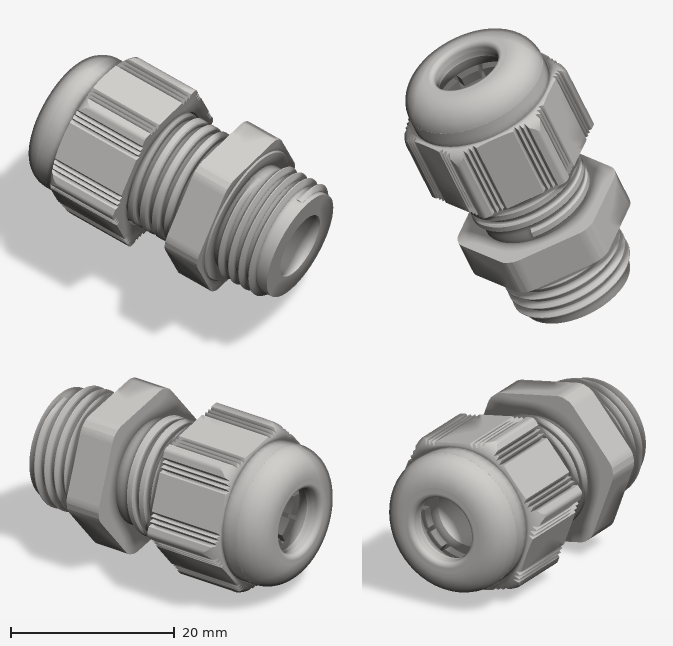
import cadquery as cq
import math

LENGTH = 35.8
GRIP_START = 5.25
GRIP_END = 15.35
SEAL_END = 4.0
FINGERS_START = 4.95
FINGERS_END = 6.15
HEX_START = 22.9
HEX_END = 27.75
COLLAR_END = 27.95

ACROSS_FLATS = 19.0
HEX_TURN = 10.2
CORNERS = 6
CORNER_STEP = 360 / CORNERS
CORNER_RATIO = 1 / math.cos(math.pi / CORNERS)

DOME_DIA = 18.0
DOME_RADIUS = 3.4
DOME_END = 3.15
OPENING_DIA = DOME_DIA - 2 * DOME_RADIUS
OPENING_DEPTH = 1.07
NUT_BORE_DIA = 15.65
NUT_CORNER_RADIUS = 0.68
GRIP_ROUNDING = 1.9
GROOVE_PITCH = 0.65
GROOVE_DEPTH = 0.57
GROOVES_PER_CORNER = 3
GROOVE_CLEARANCE = 0.35
GROOVE_FIELD_START = 2.47

SEAL_BORE_DIA = 8.4
SEAL_RIM_RADIUS = 0.65
SEAL_FLANGE_DIA = 13.67
SEAL_THROAT_END = 1.3
SEAL_WAIST_DIA = 8.55
SEAL_WAIST_START = 1.95
SEAL_WAIST_END = 2.15
SEAL_EXIT_DIA = 10.6

BODY_BORE_DIA = 8.5
FINGER_BORE_DIA = 10.9
FINGER_COUNT = 12
FINGER_GAP = 0.55
HEX_CORNER_RADIUS = 2.6
HEX_CORNER_LAND = 0.05
COLLAR_DIA = 17.9
COLLAR_CHAMFER = 0.15

CAP_SHANK_DIA = 13.67
CAP_THREAD_DIA = 15.2
CAP_PITCH = 1.8
CAP_CREST = 0.7
CAP_SHOULDER = 1.07
CAP_SHOULDER_DROP = 0.2
CAP_ROOT = 1.18
CAP_TURNS = 8
CAP_THREAD_ANGLE = -90.0
CAP_THREAD_END = 21.65

ENTRY_SHANK_DIA = 14.17
ENTRY_THREAD_DIA = 15.82
ENTRY_PITCH = 1.5
ENTRY_CREST = 0.1
ENTRY_ROOT = 1.0
ENTRY_FOOT = 0.05
ENTRY_TURNS = 4
ENTRY_THREAD_START = 28.75
ENTRY_THREAD_ANGLE = 80.0
ENTRY_FADE = 35.0

THREAD_ROOTING = 0.1
FADED_RISE = 0.2
POINTS_PER_TURN = 24


def hexagon_prism(start, end, across_flats, turn):
    """Hexagonal prism along X with one corner at `turn` degrees above -Y."""
    return (
        cq.Workplane("YZ", origin=(start, 0, 0))
        .transformed(rotate=(0, 0, -turn))
        .polygon(CORNERS, across_flats * CORNER_RATIO)
        .extrude(end - start)
    )


def revolve_about_x(profile):
    return profile.close().revolve(360, (0, 0, 0), (1, 0, 0))


def cylinder(start, end, diameter):
    return cq.Workplane("YZ", origin=(start, 0, 0)).circle(diameter / 2).extrude(end - start)


def thread(shank_dia, pitch, profile, start, start_angle, turns, fade=0.0):
    """Right-handed external thread ridge along X.

    `profile` lists (offset along X, height above the shank) from one root to the other.
    With `fade`, the heights grow from FADED_RISE to full over that many degrees at both ends.
    """
    sweep = 360 * turns
    steps = round(POINTS_PER_TURN * turns)

    def helix(offset, height):
        points = []
        for step in range(steps + 1):
            angle = sweep * step / steps
            rise = 1.0
            if fade and height > 0:
                rise = max(FADED_RISE, min(1.0, angle / fade, (sweep - angle) / fade))
            radius = shank_dia / 2 + rise * height
            around = math.radians(start_angle + angle)
            x = start + offset + pitch * angle / 360
            points.append(cq.Vector(x, radius * math.cos(around), radius * math.sin(around)))
        return cq.Edge.makeSpline(points)

    edges = [helix(offset, height) for offset, height in profile]
    faces = [cq.Face.makeRuledSurface(a, b) for a, b in zip(edges, edges[1:] + edges[:1])]
    for corners in ([e.startPoint() for e in edges], [e.endPoint() for e in edges]):
        faces.append(cq.Face.makeFromWires(cq.Wire.makePolygon(corners, close=True)))
    ridge = cq.Solid.makeSolid(cq.Shell.makeShell(faces))
    return cq.Workplane(obj=ridge.fix())


def cap_thread():
    height = (CAP_THREAD_DIA - CAP_SHANK_DIA) / 2
    profile = [
        (-CAP_ROOT / 2, -THREAD_ROOTING),
        (-CAP_SHOULDER / 2, height - CAP_SHOULDER_DROP),
        (-CAP_CREST / 2, height),
        (CAP_CREST / 2, height),
        (CAP_SHOULDER / 2, height - CAP_SHOULDER_DROP),
        (CAP_ROOT / 2, -THREAD_ROOTING),
    ]
    start = CAP_THREAD_END - CAP_PITCH * CAP_TURNS
    return thread(CAP_SHANK_DIA, CAP_PITCH, profile, start, CAP_THREAD_ANGLE, CAP_TURNS)


def entry_thread():
    height = (ENTRY_THREAD_DIA - ENTRY_SHANK_DIA) / 2
    profile = [
        (-ENTRY_ROOT / 2, -THREAD_ROOTING),
        (-ENTRY_ROOT / 2, ENTRY_FOOT),
        (-ENTRY_CREST / 2, height),
        (ENTRY_CREST / 2, height),
        (ENTRY_ROOT / 2, ENTRY_FOOT),
        (ENTRY_ROOT / 2, -THREAD_ROOTING),
    ]
    return thread(
        ENTRY_SHANK_DIA, ENTRY_PITCH, profile,
        ENTRY_THREAD_START, ENTRY_THREAD_ANGLE, ENTRY_TURNS, ENTRY_FADE,
    )


def grip_groove():
    """V groove in the middle of the +Y flat, widened outward to clear the flat."""
    flat = ACROSS_FLATS / 2
    half = GROOVE_PITCH / 2
    return (
        cq.Workplane("YZ", origin=(GRIP_START, 0, 0))
        .moveTo(flat - GROOVE_DEPTH, 0)
        .lineTo(flat, -half)
        .lineTo(flat + GROOVE_CLEARANCE, -half)
        .lineTo(flat + GROOVE_CLEARANCE, half)
        .lineTo(flat, half)
        .close()
        .extrude(GRIP_END - GRIP_START)
    )


def cut_grip_grooves(grip):
    groove = grip_groove()
    for side in range(CORNERS):
        turn = CORNER_STEP * (side + 0.5) - HEX_TURN
        for number in range(GROOVES_PER_CORNER):
            shift = GROOVE_FIELD_START + GROOVE_PITCH * (number + 0.5)
            for place in (-shift, shift):
                tool = groove.translate((0, 0, place)).rotate((0, 0, 0), (1, 0, 0), turn)
                grip = grip.cut(tool)
    return grip


def grip_rounding():
    """Revolved envelope that rounds the front corners of the grip."""
    sharp_corner = ACROSS_FLATS / 2 * CORNER_RATIO
    corner = sharp_corner - NUT_CORNER_RADIUS * (CORNER_RATIO - 1)
    return revolve_about_x(
        cq.Workplane("XY")
        .moveTo(GRIP_START, 0)
        .lineTo(GRIP_START, corner - GRIP_ROUNDING)
        .radiusArc((GRIP_START + GRIP_ROUNDING, corner), GRIP_ROUNDING)
        .lineTo(GRIP_START + GRIP_ROUNDING, sharp_corner)
        .lineTo(GRIP_END, sharp_corner)
        .lineTo(GRIP_END, 0)
    )


def nut_grip():
    grip = hexagon_prism(GRIP_START, GRIP_END, ACROSS_FLATS, HEX_TURN)
    grip = grip.edges("|X").fillet(NUT_CORNER_RADIUS)
    return cut_grip_grooves(grip).intersect(grip_rounding())


def make_nut():
    opening = OPENING_DIA / 2
    dome_outer = DOME_DIA / 2
    dome_rise = math.sqrt(DOME_RADIUS**2 - (DOME_RADIUS - DOME_END) ** 2)
    dome = revolve_about_x(
        cq.Workplane("XY")
        .lineTo(0, opening)
        .radiusArc((DOME_END, opening + dome_rise), DOME_RADIUS)
        .lineTo(DOME_END, dome_outer)
        .lineTo(GRIP_START, dome_outer)
        .lineTo(GRIP_START, 0)
    )
    bore = NUT_BORE_DIA / 2
    cavity = revolve_about_x(
        cq.Workplane("XY")
        .lineTo(0, opening)
        .lineTo(OPENING_DEPTH, opening)
        .lineTo(OPENING_DEPTH + bore - opening, bore)
        .lineTo(GRIP_END, bore)
        .lineTo(GRIP_END, 0)
    )
    return dome.union(nut_grip()).cut(cavity)


def make_seal():
    nose = OPENING_DIA / 2
    flange = SEAL_FLANGE_DIA / 2
    throat = SEAL_BORE_DIA / 2
    return revolve_about_x(
        cq.Workplane("XY")
        .moveTo(0, nose)
        .lineTo(OPENING_DEPTH, nose)
        .lineTo(OPENING_DEPTH + flange - nose, flange)
        .lineTo(SEAL_END, flange)
        .lineTo(SEAL_END, SEAL_EXIT_DIA / 2)
        .lineTo(SEAL_WAIST_END, SEAL_WAIST_DIA / 2)
        .lineTo(SEAL_WAIST_START, SEAL_WAIST_DIA / 2)
        .lineTo(SEAL_THROAT_END, throat)
        .lineTo(SEAL_RIM_RADIUS, throat)
        .radiusArc((0, throat + SEAL_RIM_RADIUS), SEAL_RIM_RADIUS)
    )


def body_hex():
    prism = hexagon_prism(HEX_START, HEX_END, ACROSS_FLATS, HEX_TURN)
    prism = prism.edges("|X").fillet(HEX_CORNER_RADIUS)
    centre = (ACROSS_FLATS / 2 - HEX_CORNER_RADIUS) * CORNER_RATIO
    land = centre + HEX_CORNER_RADIUS - HEX_CORNER_LAND
    return prism.intersect(hexagon_prism(HEX_START, HEX_END, 2 * land, HEX_TURN + CORNER_STEP / 2))


def fingers():
    """Ring of clamping fingers around the end of the cap shank."""
    ring = cylinder(FINGERS_START, FINGERS_END, CAP_SHANK_DIA)
    ring = ring.cut(cylinder(FINGERS_START, FINGERS_END, FINGER_BORE_DIA))
    gap = cq.Workplane("XY").box(
        FINGERS_END - FINGERS_START, CAP_SHANK_DIA, FINGER_GAP, centered=(False, False, True)
    ).translate((FINGERS_START, 0, 0))
    for number in range(FINGER_COUNT):
        ring = ring.cut(gap.rotate((0, 0, 0), (1, 0, 0), 360 * number / FINGER_COUNT))
    return ring


def make_body():
    body = body_hex()
    body = body.union(cylinder(HEX_END, COLLAR_END, COLLAR_DIA).faces(">X").chamfer(COLLAR_CHAMFER))
    body = body.union(cylinder(FINGERS_END, HEX_START, CAP_SHANK_DIA))
    body = body.union(cylinder(COLLAR_END, LENGTH, ENTRY_SHANK_DIA))
    body = body.cut(cylinder(FINGERS_END, LENGTH, BODY_BORE_DIA))
    return body.union(fingers()).union(cap_thread()).union(entry_thread())


nut = make_nut().solids()
seal = make_seal().solids()
body = make_body().solids()
result = cq.Compound.makeCompound([nut.val(), seal.val(), body.val()])